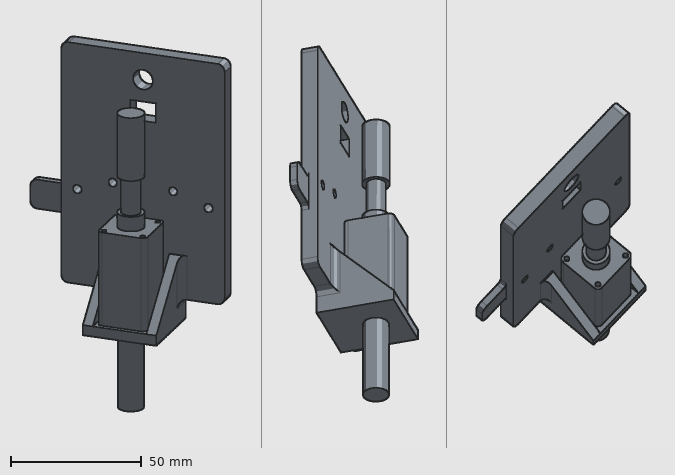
import cadquery as cq


plate_width = 67.1
plate_thickness = 6.5
plate_bottom = 42.0
plate_top = 141.0
plate_corner_radius = 3.0
plate_front = -plate_thickness

tab_length = 14.1
tab_height = 12.0
tab_top = 81.1
tab_thickness = 3.0
tab_corner_radius = 3.0
tab_root_radius = 2.0

hang_hole_diameter = 8.0
hang_hole_z = 130.0
inner_hole_diameter = 3.4
inner_hole_spacing = 24.8
inner_hole_z = 85.9
outer_hole_diameter = 3.5
outer_hole_spacing = 53.9
outer_hole_z = 81.1
window_width = 10.5
window_height = 7.9
window_top = 121.0

bracket_depth = 31.0
bracket_width = 30.2
gusset_thickness = 4.1
shelf_bottom = 31.7
shelf_thickness = 4.2
shelf_top = shelf_bottom + shelf_thickness
gusset_flat_depth = 0.4
gusset_flat_y = -plate_thickness - gusset_flat_depth
gusset_top = shelf_top + bracket_depth + gusset_flat_y
gusset_root_radius = 3.0

actuator_y = -19.0
case_side = 20.0
case_corner_radius = 2.0
case_top = 74.3
screw_hole_diameter = 2.0
screw_hole_pitch = 16.0
screw_hole_depth = 4.2
collar_diameter = 10.6
collar_top = 80.2
stem_diameter = 7.6
stem_top = 95.0
plunger_diameter = 10.6
plunger_top = 121.0
rod_diameter = 10.0


def block(x_min, x_max, y_min, y_max, z_min, z_max):
    """Box given by its limits along each axis."""
    size = (x_max - x_min, y_max - y_min, z_max - z_min)
    return cq.Workplane("XY").box(*size, centered=False).translate((x_min, y_min, z_min))


def cylinder(diameter, z_min, z_max):
    """Vertical cylinder on the actuator axis."""
    return cq.Workplane("XY", origin=(0, actuator_y, z_min)).circle(diameter / 2).extrude(z_max - z_min)


def make_plate():
    """Rounded plate with its thin side tab."""
    half_width = plate_width / 2
    plate = block(-half_width, half_width, plate_front, 0, plate_bottom, plate_top)
    plate = plate.edges("|Y").fillet(plate_corner_radius)
    tab_bottom = tab_top - tab_height
    tab = block(-half_width - tab_length, -half_width, -tab_thickness, 0, tab_bottom, tab_top)
    tab = tab.edges("|Y and <X").fillet(tab_corner_radius)
    root = cq.selectors.BoxSelector(
        (-half_width - tab_root_radius / 2, plate_front, tab_bottom - tab_root_radius / 2),
        (-half_width + tab_root_radius / 2, 0, tab_top + tab_root_radius / 2),
    )
    return plate.union(tab).edges(root).edges("|Y").fillet(tab_root_radius)


def make_gussets():
    """Shelf with a sloped gusset on each side, open between the gussets."""
    half_width = bracket_width / 2
    side_outline = [
        (0, shelf_bottom),
        (-bracket_depth, shelf_bottom),
        (-bracket_depth, shelf_top),
        (gusset_flat_y, gusset_top),
        (0, gusset_top),
    ]
    bracket = cq.Workplane("YZ").polyline(side_outline).close().extrude(half_width, both=True)
    channel_half = half_width - gusset_thickness
    channel = block(-channel_half, channel_half, -bracket_depth, plate_front, shelf_top, gusset_top)
    return bracket.cut(channel)


def root_flare(plane, origin, length):
    """Bar with a concave arc on both sides, its wide edge at local y = 0."""
    half_width = bracket_width / 2
    radius = gusset_root_radius
    arc_inset = radius * (1 - 0.5 ** 0.5)
    wide = half_width + radius
    return (
        cq.Workplane(plane, origin=origin)
        .moveTo(-wide, 0)
        .lineTo(wide, 0)
        .threePointArc((half_width + arc_inset, -arc_inset), (half_width, -radius))
        .lineTo(-half_width, -radius)
        .threePointArc((-half_width - arc_inset, -arc_inset), (-wide, 0))
        .close()
        .extrude(length)
    )


def make_root_fillets():
    """Fillets from the gussets to the plate front and bottom, mitred at the plate's lower front edge."""
    reach = gusset_root_radius
    half_width = bracket_width / 2
    foot = plate_bottom - reach
    fillet_front = plate_front - reach
    front = root_flare("XY", (0, plate_front, foot), gusset_top - foot)
    below = root_flare("XZ", (0, 0, plate_bottom), plate_thickness + reach)
    span = half_width + reach
    corner = block(-span, span, fillet_front, plate_front, foot, plate_bottom)
    fillets = front.cut(corner).union(below.cut(corner)).union(front.intersect(below))
    top_slope = (
        cq.Workplane("YZ")
        .polyline([(gusset_flat_y, gusset_top), (fillet_front, gusset_top),
                   (fillet_front, gusset_top - (gusset_flat_y - fillet_front))])
        .close()
        .extrude(span, both=True)
    )
    channel_half = half_width - gusset_thickness
    channel = block(-channel_half, channel_half, fillet_front, plate_front, foot, gusset_top)
    return fillets.cut(top_slope).cut(channel)


def plate_holes(diameter, x_positions, z):
    """Cutters for round holes through the plate."""
    points = [(x, z) for x in x_positions]
    return cq.Workplane("XZ").pushPoints(points).circle(diameter / 2).extrude(plate_thickness)


def make_bracket():
    """Plate, tab, shelf and gussets as one body, with all openings cut."""
    bracket = make_plate().union(make_gussets()).union(make_root_fillets())
    bracket = bracket.cut(plate_holes(hang_hole_diameter, [0], hang_hole_z))
    inner_x = inner_hole_spacing / 2
    bracket = bracket.cut(plate_holes(inner_hole_diameter, [-inner_x, inner_x], inner_hole_z))
    outer_x = outer_hole_spacing / 2
    bracket = bracket.cut(plate_holes(outer_hole_diameter, [-outer_x, outer_x], outer_hole_z))
    half_window = window_width / 2
    window = block(-half_window, half_window, plate_front, 0, window_top - window_height, window_top)
    rod_hole = cylinder(rod_diameter, shelf_bottom, shelf_top)
    return bracket.cut(window).cut(rod_hole)


def make_actuator():
    """Square case on the shelf, with plunger above and rod through the shelf below."""
    case = (
        cq.Workplane("XY", origin=(0, actuator_y, shelf_top))
        .rect(case_side, case_side)
        .extrude(case_top - shelf_top)
        .edges("|Z")
        .fillet(case_corner_radius)
    )
    screw_holes = (
        cq.Workplane("XY", origin=(0, actuator_y, case_top))
        .rect(screw_hole_pitch, screw_hole_pitch, forConstruction=True)
        .vertices()
        .circle(screw_hole_diameter / 2)
        .extrude(-screw_hole_depth)
    )
    return (
        case.cut(screw_holes)
        .union(cylinder(collar_diameter, case_top, collar_top))
        .union(cylinder(stem_diameter, collar_top, stem_top))
        .union(cylinder(plunger_diameter, stem_top, plunger_top))
        .union(cylinder(rod_diameter, 0, shelf_top))
    )


bracket = make_bracket()
actuator = make_actuator()
result = cq.Compound.makeCompound([bracket.val(), actuator.val()])